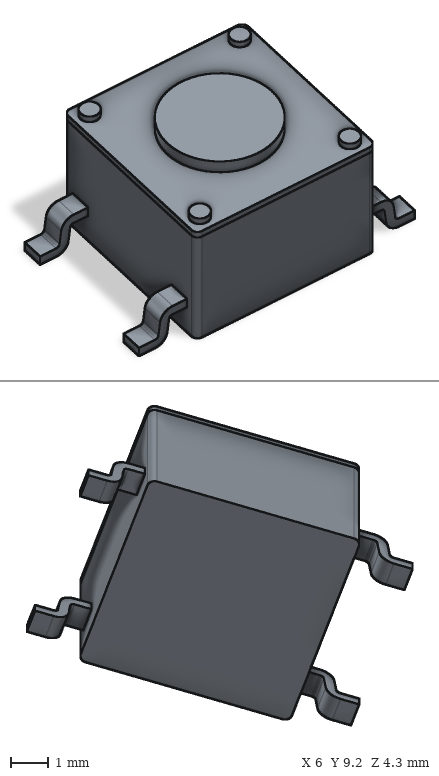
import cadquery as cq
import math

SIDE = 6.0
CORNER_RADIUS = 0.2
COVER_TOP = 3.9
COVER_THICKNESS = 0.2
COVER_BOTTOM = COVER_TOP - COVER_THICKNESS

BUTTON_DIAMETER = 3.5
BUTTON_TOP = 4.3
PEG_DIAMETER = 0.6
PEG_TOP = 4.1
PEG_OFFSET = 2.5

LEAD_SPAN = 9.2
LEAD_WIDTH = 0.7
LEAD_THICKNESS = 0.3
LEAD_HEIGHT = 1.22
LEAD_OFFSET = 2.245
LEAD_SLANT_MIDDLE = 3.77
LEAD_SLANT_ANGLE = 7.0
INNER_BEND_RADIUS = 0.12
OUTER_BEND_RADIUS = INNER_BEND_RADIUS + LEAD_THICKNESS


def square_plate(bottom, top):
    """Square block with rounded vertical corners between two heights."""
    return (
        cq.Workplane("XY", origin=(0, 0, bottom))
        .rect(SIDE, SIDE)
        .extrude(top - bottom)
        .edges("|Z")
        .fillet(CORNER_RADIUS)
    )


def make_housing():
    """Plain housing block that carries the cover."""
    return square_plate(0, COVER_BOTTOM)


def peg_posts():
    """Four round pegs near the corners of the cover."""
    return (
        cq.Workplane("XY", origin=(0, 0, COVER_BOTTOM))
        .rect(2 * PEG_OFFSET, 2 * PEG_OFFSET, forConstruction=True)
        .vertices()
        .circle(PEG_DIAMETER / 2)
        .extrude(PEG_TOP - COVER_BOTTOM)
    )


def button_post():
    """Round push button in the middle of the cover."""
    return (
        cq.Workplane("XY", origin=(0, 0, COVER_BOTTOM))
        .circle(BUTTON_DIAMETER / 2)
        .extrude(BUTTON_TOP - COVER_BOTTOM)
    )


def make_cover():
    """Flush top plate with its pegs and button in one piece."""
    return square_plate(COVER_BOTTOM, COVER_TOP).union(peg_posts()).union(button_post())


def make_lead(x_sign, y_sign):
    """One S-bent lead that starts flat against the housing wall."""
    slant = math.tan(math.radians(LEAD_SLANT_ANGLE))
    half_slant_width = LEAD_THICKNESS / 2 / math.cos(math.radians(LEAD_SLANT_ANGLE))

    def slant_point(side, z):
        y = LEAD_SLANT_MIDDLE + side * half_slant_width + slant * (LEAD_HEIGHT / 2 - z)
        return (y, z)

    wall = SIDE / 2
    tip = LEAD_SPAN / 2
    arm_bottom = LEAD_HEIGHT - LEAD_THICKNESS
    foot_heel = slant_point(-1, 0)
    foot_inner = slant_point(1, LEAD_THICKNESS)
    arm_inner = slant_point(-1, arm_bottom)
    arm_outer = slant_point(1, LEAD_HEIGHT)
    outline = [
        (wall, LEAD_HEIGHT),
        arm_outer,
        foot_inner,
        (tip, LEAD_THICKNESS),
        (tip, 0),
        foot_heel,
        arm_inner,
        (wall, arm_bottom),
    ]
    lead = (
        cq.Workplane("YZ", origin=(x_sign * LEAD_OFFSET, 0, 0))
        .polyline(outline)
        .close()
        .extrude(LEAD_WIDTH / 2, both=True)
    )

    def bend(body, corner, radius):
        at_corner = cq.selectors.NearestToPointSelector((x_sign * LEAD_OFFSET, *corner))
        return body.edges("|X").edges(at_corner).fillet(radius)

    for corner in (foot_heel, arm_outer):
        lead = bend(lead, corner, OUTER_BEND_RADIUS)
    for corner in (foot_inner, arm_inner):
        lead = bend(lead, corner, INNER_BEND_RADIUS)
    return lead if y_sign > 0 else lead.mirror("XZ")


housing = make_housing()
cover = make_cover()
leads = [make_lead(x_sign, y_sign) for x_sign in (-1, 1) for y_sign in (-1, 1)]

result = cq.Compound.makeCompound([housing.val(), cover.val(), *[lead.val() for lead in leads]])